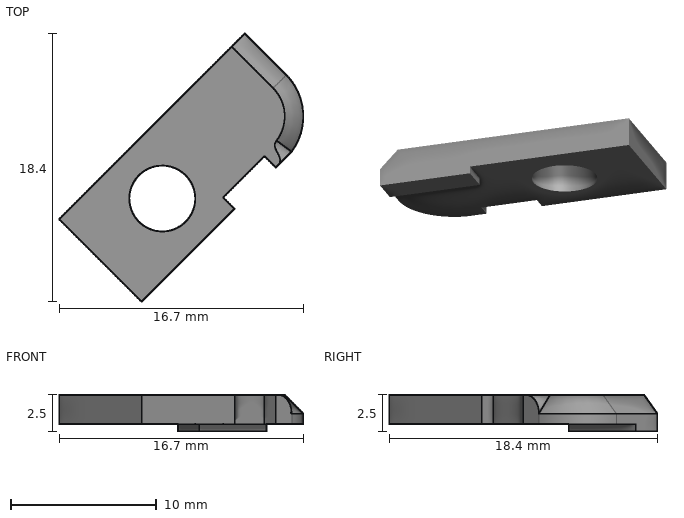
import math

import cadquery as cq

TURN_ANGLE = 45.0

TAIL_X = -6.0
TIP_X = 12.0
HALF_WIDTH = 4.0
THICKNESS = 2.0
HOLE_DIAMETER = 4.5

NOSE_RADIUS = 4.04
NOSE_CENTER_X = TIP_X - NOSE_RADIUS
NOSE_END_X = NOSE_CENTER_X + math.sqrt(NOSE_RADIUS**2 - HALF_WIDTH**2)
NOSE_END_ANGLE = math.asin(HALF_WIDTH / NOSE_RADIUS)

NOTCH_START_X = 3.0
NOTCH_END_X = 7.0
NOTCH_DEPTH = 1.1

KEY_LENGTH = 6.5
KEY_WIDTH = 2.1
KEY_HEIGHT = 0.5

BEVEL = 1.28
BEVEL_BASE_Z = THICKNESS - BEVEL

RUNOUT_BEND = (8.0, -2.9)
RUNOUT_WAIST = (7.72, -3.6)


def nose_point(radius, angle, z):
    """Point at a radius round the nose axis; the angle is measured from +x towards -y."""
    return cq.Vector(NOSE_CENTER_X + radius * math.cos(angle), -radius * math.sin(angle), z)


def make_plate():
    arc_middle = nose_point(NOSE_RADIUS, NOSE_END_ANGLE / 2, 0)
    notch_floor_y = NOTCH_DEPTH - HALF_WIDTH
    return (
        cq.Workplane("XY")
        .moveTo(TAIL_X, HALF_WIDTH)
        .lineTo(TIP_X, HALF_WIDTH)
        .lineTo(TIP_X, 0)
        .threePointArc((arc_middle.x, arc_middle.y), (NOSE_END_X, -HALF_WIDTH))
        .lineTo(NOTCH_END_X, -HALF_WIDTH)
        .lineTo(NOTCH_END_X, notch_floor_y)
        .lineTo(NOTCH_START_X, notch_floor_y)
        .lineTo(NOTCH_START_X, -HALF_WIDTH)
        .lineTo(TAIL_X, -HALF_WIDTH)
        .close()
        .extrude(THICKNESS)
    )


def make_hole():
    return cq.Workplane("XY").circle(HOLE_DIAMETER / 2).extrude(THICKNESS)


def make_key():
    return cq.Workplane("XY").box(KEY_LENGTH, KEY_WIDTH, KEY_HEIGHT, centered=False).translate(
        (TIP_X - KEY_LENGTH, HALF_WIDTH - KEY_WIDTH, -KEY_HEIGHT)
    )


def bevel_profile():
    """Triangle removed from the top edge, in the plane y = 0."""
    return (
        cq.Workplane("XZ")
        .moveTo(TIP_X, BEVEL_BASE_Z)
        .lineTo(TIP_X, THICKNESS)
        .lineTo(TIP_X - BEVEL, THICKNESS)
        .close()
    )


def make_straight_bevel():
    return bevel_profile().extrude(-HALF_WIDTH)


def make_nose_bevel():
    return bevel_profile().revolve(
        math.degrees(NOSE_END_ANGLE), (NOSE_CENTER_X, 1, 0), (NOSE_CENTER_X, 0, 0)
    )


def make_runout():
    """Curved three-sided cut that carries the end of the bevel out through the -y side.

    On the -y side it follows a quarter circle of radius BEVEL.
    """
    inner = nose_point(NOSE_RADIUS - BEVEL, NOSE_END_ANGLE, THICKNESS)
    base = nose_point(NOSE_RADIUS, NOSE_END_ANGLE, BEVEL_BASE_Z)
    corner = nose_point(NOSE_RADIUS, NOSE_END_ANGLE, THICKNESS)
    side = cq.Vector(NOSE_END_X - BEVEL, -HALF_WIDTH, THICKNESS)
    quarter_middle = BEVEL * math.sqrt(0.5)
    side_middle = cq.Vector(side.x + quarter_middle, -HALF_WIDTH, BEVEL_BASE_Z + quarter_middle)
    bend = cq.Vector(*RUNOUT_BEND, THICKNESS)
    waist = cq.Vector(*RUNOUT_WAIST, THICKNESS)

    bevel_end = cq.Edge.makeLine(inner, base)
    side_curve = cq.Edge.makeThreePointArc(base, side_middle, side)
    top_curve = cq.Edge.makeSpline([side, waist, bend, inner])
    to_side = cq.Edge.makeLine(corner, side)
    to_inner = cq.Edge.makeLine(corner, inner)
    to_base = cq.Edge.makeLine(corner, base)

    def flat_face(*edges):
        return cq.Face.makeFromWires(cq.Wire.assembleEdges(edges))

    faces = [
        cq.Face.makeNSidedSurface([bevel_end, side_curve, top_curve], []),
        flat_face(to_side, top_curve, to_inner),
        flat_face(to_base, side_curve, to_side),
        flat_face(to_inner, bevel_end, to_base),
    ]
    return cq.Workplane(cq.Solid.makeSolid(cq.Shell.makeShell(faces)))


nose_cut = make_nose_bevel().union(make_runout())
part = make_plate().cut(make_hole()).union(make_key())
part = part.cut(make_straight_bevel()).cut(nose_cut)
result = part.rotate((0, 0, 0), (0, 0, 1), TURN_ANGLE)